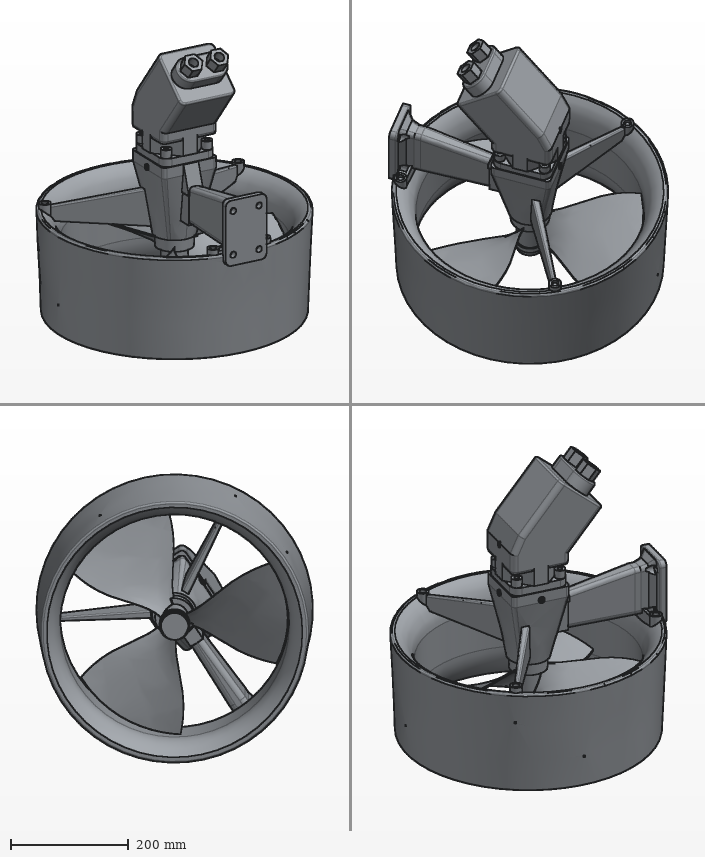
import cadquery as cq
import math


overall_height = 505.5

ring_top_z = 189.0
ring_top_radius = 235.5
ring_foot_radius = 227.5
inlet_radius = 227.5
outlet_radius = 217.5
throat_radius = 194.5
throat_top_z = 136.5
throat_bottom_z = 60.5
flare_radius_share = 0.3
inlet_height_share = 0.6
outlet_height_share = 0.6
rim_round = 3.5
port_diameter = 3.0
port_depth = 5.0
lower_port_z = 57.0
upper_port_z = 133.5
ports = ((180, lower_port_z), (270, lower_port_z), (240, upper_port_z))

casing_width = 107.0
casing_corner = 7.0
casing_top_z = 289.0
taper_top_z = 269.5
taper_bottom_z = 144.0
taper_bottom_radius = 38.0
leg_radius = 33.5
leg_bottom_z = 121.5
hub_radius = 23.5
hub_bottom_z = 48.0
hub_collar_radius = 26.0
hub_collar_bottom_z = 58.0
hub_collar_top_z = 68.0
plug_diameter = 11.0
plug_height = 2.0
plug_z = 274.0
plug_socket = 6.0
plug_angles = (180, 270)

cover_width = 104.0
cover_corner = 16.0
cover_top_z = 304.0
core_half_flat = 12.0
head_base_z = 332.0
screw_offset = 40.5
screw_diameter = 18.5
screw_height = 15.0
screw_socket = 8.5
screw_socket_depth = 7.0

head_half_width = 55.0
head_front_x = 53.0
head_tilt = 40.0
head_depth = 104.0
head_elbow_z = 370.5
head_bend_x = -40.0
head_bend_z = 403.0
head_slope_length = 118.5
head_edge_round = 10.0
head_end_round = 3.5
head_base_relief = 1.5
head_base_relief_height = 5.0
head_plug_z = 366.5
head_plug_diameter = 10.5
head_plug_depth = 2.5

entry_width = 48.5
entry_length = 98.0
entry_height = 25.0
entry_round = 2.5
entry_shift = 1.0
nut_across_flats = 31.0
nut_spacing = 51.0
nut_bore = 17.0
nut_bore_depth = 20.0

strut_angles = (120, 240)
strut_root = 30.5
strut_tip = 212.5
strut_root_top_z = 229.5
strut_tip_top_z = 194.5
strut_root_bottom_z = 156.5
strut_tip_bottom_z = 166.5
strut_root_width = 14.0
strut_tip_width = 7.5
strut_round = 2.5

boss_diameter = 20.5
boss_reach = 220.5
boss_bottom_z = 154.0
boss_top_z = 198.5
boss_bore = 12.0
boss_bore_depth = 6.0

post_front_x = 69.0
post_width = 25.5
cap_width = 29.5
cap_top_x = 55.5
cap_front_x = 71.0
cap_bottom_z = 237.0
cap_lip = 8.0
arm_root_x = 65.5
arm_root_width = 23.5
arm_root_top_z = 251.5
arm_end_x = 192.0
arm_end_width = 31.5
arm_end_top_z = 273.0
arm_bottom_z = 182.0
arm_round = 7.5
arm_belly_round = 10.5
arm_neck_x = 203.0
flange_x = 227.0
flange_thickness = 13.0
flange_width = 80.5
flange_bottom_z = 170.0
flange_corner = 10.0
flange_edge_round = 2.5
flange_hole = 11.0
flange_spotface = 17.0
flange_spotface_x = 211.5
flange_hole_inset_y = 14.5
flange_hole_inset_z = 19.5
flare_x = 216.5
flare_width = 37.5
flare_top_z = 277.0
flare_end_width = 55.5
flare_end_top_z = 288.0
foot_x = 215.5
foot_half_length = 50.5
foot_width = 19.0
foot_top_z = 195.0

blade_angles = (60, 180, 300)
blade_tip_radius = 192.5
blade_thickness = 3.0
blade_sections = (
    (20.0, 14.0, 25.5, 103.5),
    (55.5, 32.5, 25.5, 106.0),
    (101.0, 65.5, 33.5, 105.0),
    (151.5, 90.0, 36.0, 105.0),
    (197.0, 101.0, 30.0, 105.0),
)


def cylinder(x, y, bottom_z, top_z, diameter):
    """Upright cylinder between two heights."""
    disc = cq.Workplane("XY", origin=(x, y, bottom_z)).circle(diameter / 2)
    return disc.extrude(top_z - bottom_z)


def square_plate(width, corner, bottom_z, top_z):
    """Square plate about the axis with rounded upright corners."""
    plate = cq.Workplane("XY", origin=(0, 0, bottom_z)).rect(width, width).extrude(top_z - bottom_z)
    return plate.edges("|Z").fillet(corner)


def ring_nozzle():
    """Conical shell whose bore flares out above and below a straight throat."""
    flare_mid_radius = throat_radius + flare_radius_share * (inlet_radius - throat_radius)
    flare_mid_z = throat_top_z + inlet_height_share * (ring_top_z - throat_top_z)
    outlet_mid_radius = throat_radius + flare_radius_share * (outlet_radius - throat_radius)
    outlet_mid_z = (1 - outlet_height_share) * throat_bottom_z
    section = (
        cq.Workplane("XZ")
        .moveTo(ring_foot_radius, 0)
        .lineTo(ring_top_radius, ring_top_z)
        .lineTo(inlet_radius, ring_top_z)
        .threePointArc((flare_mid_radius, flare_mid_z), (throat_radius, throat_top_z))
        .lineTo(throat_radius, throat_bottom_z)
        .threePointArc((outlet_mid_radius, outlet_mid_z), (outlet_radius, 0))
        .close()
    )
    ring = section.revolve(360, (0, 0, 0), (0, 1, 0))
    outer_edge = cq.selectors.RadiusNthSelector(-1)
    ring = ring.faces(">Z").edges(outer_edge).fillet(rim_round)
    return ring.faces("<Z").edges(outer_edge).fillet(rim_round)


def ring_port(angle, z):
    """Small radial drilling into the outer wall of the ring."""
    wall_radius = ring_foot_radius + (ring_top_radius - ring_foot_radius) * z / ring_top_z
    start = wall_radius - port_depth
    drill = cq.Workplane("YZ", origin=(start, 0, z)).circle(port_diameter / 2).extrude(2 * port_depth)
    return drill.rotate((0, 0, 0), (0, 0, 1), angle)


def gear_casing():
    """Square top plate, taper to a round end, leg and collared propeller hub below it."""
    plate = square_plate(casing_width, casing_corner, taper_top_z, casing_top_z)
    square = cq.Sketch().rect(casing_width, casing_width).vertices().fillet(casing_corner)
    round_end = cq.Sketch().circle(taper_bottom_radius)
    drop = cq.Location(cq.Vector(0, 0, taper_bottom_z - taper_top_z))
    taper = cq.Workplane("XY", origin=(0, 0, taper_top_z)).placeSketch(square, round_end.moved(drop)).loft()
    leg = cylinder(0, 0, leg_bottom_z, taper_bottom_z, 2 * leg_radius)
    hub = cylinder(0, 0, hub_bottom_z, leg_bottom_z, 2 * hub_radius)
    collar = cylinder(0, 0, hub_collar_bottom_z, hub_collar_top_z, 2 * hub_collar_radius)
    return plate.union(taper).union(leg).union(hub).union(collar)


def casing_plug(angle):
    """Round plug with a socket on one side of the casing plate."""
    face_x = casing_width / 2
    plug = (
        cq.Workplane("YZ", origin=(face_x - plug_height, 0, plug_z))
        .circle(plug_diameter / 2)
        .circle(plug_socket / 2)
        .extrude(2 * plug_height)
    )
    return plug.rotate((0, 0, 0), (0, 0, 1), angle)


def cover_and_core():
    """Cover plate and the eight-sided core that leaves four corner pockets for the screws."""
    cover = square_plate(cover_width, cover_corner, casing_top_z, cover_top_z)
    core_corner = head_front_x - core_half_flat
    core_top_z = head_base_z + head_base_relief_height
    core = (
        cq.Workplane("XY", origin=((head_front_x - head_half_width) / 2, 0, cover_top_z))
        .rect(head_front_x + head_half_width, 2 * head_half_width)
        .extrude(core_top_z - cover_top_z)
        .edges("|Z")
        .chamfer(core_corner)
    )
    return cover.union(core)


def cover_screw(x, y):
    """Round screw head with a socket."""
    top_z = cover_top_z + screw_height
    socket = cylinder(x, y, top_z - screw_socket_depth, top_z, screw_socket)
    return cylinder(x, y, cover_top_z, top_z, screw_diameter).cut(socket)


tilt = math.radians(head_tilt)
slope = (math.sin(tilt), math.cos(tilt))
across = (math.cos(tilt), -math.sin(tilt))
head_end_left = (head_bend_x + head_slope_length * slope[0], head_bend_z + head_slope_length * slope[1])
head_end_right = (head_end_left[0] + head_depth * across[0], head_end_left[1] + head_depth * across[1])
inner_elbow_z = head_end_right[1] - (head_end_right[0] - head_front_x) * slope[1] / slope[0]


def motor_head():
    """Box that stands upright at its base and then leans toward +X."""
    outline = [
        (-head_half_width, head_base_z),
        (-head_half_width, head_elbow_z),
        (head_bend_x, head_bend_z),
        head_end_left,
        head_end_right,
        (head_front_x, inner_elbow_z),
        (head_front_x, head_base_z),
    ]
    box = cq.Workplane("XZ").polyline(outline).close().extrude(head_half_width, both=True)
    end_side_edges = cq.selectors.ParallelDirSelector(cq.Vector(across[0], 0, across[1]))
    side_edges = cq.selectors.SubtractSelector(cq.selectors.StringSyntaxSelector("not <Z"), end_side_edges)
    box = box.faces("<Y or >Y").edges(side_edges).fillet(head_edge_round)
    end_face = cq.selectors.ParallelDirSelector(cq.Vector(slope[0], 0, slope[1]))
    box = box.faces(end_face).edges().fillet(head_end_round)
    box = box.faces("<Z").chamfer(head_base_relief_height, head_base_relief)
    plug_seat = (
        cq.Workplane("YZ", origin=(-head_half_width, 0, head_plug_z))
        .circle(head_plug_diameter / 2)
        .extrude(head_plug_depth)
    )
    return box.cut(plug_seat)


def entry_plane():
    """Plane on the end face of the head: its X runs across the slope, its Z along the slope."""
    middle = head_depth / 2 + entry_shift
    origin = (head_end_left[0] + middle * across[0], 0, head_end_left[1] + middle * across[1])
    return cq.Plane(origin=origin, xDir=(across[0], 0, across[1]), normal=(slope[0], 0, slope[1]))


def cable_entry():
    """Slot-shaped block with two bored hexagonal nuts whose upper edges are the top of the part."""
    plane = entry_plane()
    block = cq.Workplane(plane).slot2D(entry_length, entry_width, 90).extrude(entry_height)
    block = block.faces(cq.selectors.DirectionMinMaxSelector(plane.zDir)).edges().fillet(entry_round)
    nut_rise = overall_height - plane.origin.z - nut_across_flats / 2 * slope[0]
    nut_height = nut_rise / slope[1] - entry_height
    nut_places = [(0, -nut_spacing / 2), (0, nut_spacing / 2)]
    nut_base = cq.Workplane(plane).workplane(offset=entry_height)
    hexagon = cq.Sketch().regularPolygon(nut_across_flats / math.sqrt(3), 6)
    nuts = nut_base.pushPoints(nut_places).placeSketch(hexagon).extrude(nut_height)
    nut_top = nut_base.workplane(offset=nut_height)
    bores = nut_top.pushPoints(nut_places).circle(nut_bore / 2).extrude(-nut_bore_depth)
    return block.union(nuts).cut(bores)


def boss(x, y):
    """Round boss with a blind bore in its top."""
    bore = cylinder(x, y, boss_top_z - boss_bore_depth, boss_top_z, boss_bore)
    return cylinder(x, y, boss_bottom_z, boss_top_z, boss_diameter).cut(bore)


def upright_bar(x, width, bottom_z, top_z, top_round, bottom_round):
    """Rounded bar shape in a plane across X, used as a loft section."""
    shape = cq.Sketch().rect(width, top_z - bottom_z)
    shape = shape.vertices(">Y").fillet(top_round).reset()
    shape = shape.vertices("<Y").fillet(bottom_round).reset()
    place = cq.Location(cq.Plane(origin=(x, 0, (bottom_z + top_z) / 2), xDir=(0, 1, 0), normal=(1, 0, 0)))
    return shape.moved(place)


def loft_bars(*bars):
    """Straight-sided loft through upright bars."""
    return cq.Workplane("XY").placeSketch(*bars).loft(ruled=True)


def strut(angle):
    """Tapered web from the casing to a boss on the ring."""
    root_bar = (strut_root_width, strut_root_bottom_z, strut_root_top_z)
    tip_bar = (strut_tip_width, strut_tip_bottom_z, strut_tip_top_z)
    web = loft_bars(
        upright_bar(strut_root, *root_bar, strut_round, strut_round),
        upright_bar(strut_tip, *tip_bar, strut_round, strut_round),
    )
    return web.union(boss(boss_reach, 0)).rotate((0, 0, 0), (0, 0, 1), angle)


def arm_collar():
    """Post on the side of the casing under a wider, sloping cap."""
    post = (
        cq.Workplane("XY", origin=(post_front_x / 2, 0, arm_bottom_z))
        .rect(post_front_x, post_width)
        .extrude(cap_bottom_z - arm_bottom_z)
    )
    cap_outline = [
        (0, cap_bottom_z),
        (0, casing_top_z),
        (cap_top_x, casing_top_z),
        (cap_front_x, cap_bottom_z + cap_lip),
        (cap_front_x, cap_bottom_z),
    ]
    cap = cq.Workplane("XZ").polyline(cap_outline).close().extrude(cap_width / 2, both=True)
    return post.union(cap)


def mounting_arm():
    """Tapered arm with a rounded underside and a stepped flare that meets the flange."""
    root = upright_bar(arm_root_x, arm_root_width, arm_bottom_z, arm_root_top_z, arm_round, arm_belly_round)
    end_bar = (arm_end_width, arm_bottom_z, arm_end_top_z, arm_round, arm_belly_round)
    end = upright_bar(arm_end_x, *end_bar)
    neck = upright_bar(arm_neck_x, *end_bar)
    flare_start = upright_bar(flare_x, flare_width, arm_bottom_z, flare_top_z, arm_round, arm_belly_round)
    flare_end_bar = (flare_end_width, arm_bottom_z, flare_end_top_z, arm_round, arm_belly_round)
    flare_end = upright_bar(flange_x, *flare_end_bar)
    return loft_bars(root, end, neck, flare_start, flare_end)


def mounting_flange():
    """Upright rectangular flange with rounded corners."""
    height = casing_top_z - flange_bottom_z
    return (
        cq.Workplane("YZ", origin=(flange_x, 0, flange_bottom_z + height / 2))
        .rect(flange_width, height)
        .extrude(flange_thickness)
        .edges("|X")
        .fillet(flange_corner)
        .faces("<X")
        .edges()
        .fillet(flange_edge_round)
    )


def flange_holes():
    """Four drillings through the flange, each with a spotface toward the arm."""
    height = casing_top_z - flange_bottom_z
    pitch_y = flange_width - 2 * flange_hole_inset_y
    pitch_z = height - 2 * flange_hole_inset_z
    start = cq.Workplane("YZ", origin=(flange_spotface_x, 0, flange_bottom_z + height / 2))
    places = start.rect(pitch_y, pitch_z, forConstruction=True).vertices()
    spotfaces = places.circle(flange_spotface / 2).extrude(flange_x - flange_spotface_x)
    drillings = places.circle(flange_hole / 2).extrude(flange_x + flange_thickness - flange_spotface_x)
    return spotfaces.union(drillings)


def flange_foot():
    """Bar across the ring under the flange, with a boss at each end."""
    bar = cq.Workplane("XY", origin=(foot_x, 0, boss_bottom_z)).rect(foot_width, 2 * foot_half_length)
    foot = bar.extrude(foot_top_z - boss_bottom_z)
    for y in (-foot_half_length, foot_half_length):
        foot = foot.cut(cylinder(foot_x, y, boss_bottom_z, boss_top_z, boss_bore))
        foot = foot.union(boss(foot_x, y))
    return foot


def blade_section(reach, half_chord, half_rise, middle_z):
    """Thin slanted section across the blade at one distance from the axis."""
    low_z = middle_z - half_rise - blade_thickness / 2
    high_z = middle_z + half_rise - blade_thickness / 2
    corners = [
        cq.Vector(reach, -half_chord, low_z),
        cq.Vector(reach, half_chord, high_z),
        cq.Vector(reach, half_chord, high_z + blade_thickness),
        cq.Vector(reach, -half_chord, low_z + blade_thickness),
    ]
    return cq.Wire.makePolygon(corners, close=True)


def propeller_blade(angle):
    """Twisted blade, wider toward a tip that follows the bore of the ring."""
    sheet = cq.Workplane(cq.Solid.makeLoft([blade_section(*values) for values in blade_sections]))
    tip_limit = cylinder(0, 0, 0, ring_top_z, 2 * blade_tip_radius)
    return sheet.intersect(tip_limit).rotate((0, 0, 0), (0, 0, 1), angle)


result = ring_nozzle().union(gear_casing()).union(cover_and_core())
result = result.union(motor_head()).union(cable_entry())
for screw_x in (-screw_offset, screw_offset):
    for screw_y in (-screw_offset, screw_offset):
        result = result.union(cover_screw(screw_x, screw_y))
result = result.union(arm_collar()).union(mounting_arm())
result = result.union(flange_foot()).union(mounting_flange()).cut(flange_holes())
for strut_angle in strut_angles:
    result = result.union(strut(strut_angle))
for blade_angle in blade_angles:
    result = result.union(propeller_blade(blade_angle))
for plug_angle in plug_angles:
    result = result.union(casing_plug(plug_angle))
for port_angle, port_z in ports:
    result = result.cut(ring_port(port_angle, port_z))